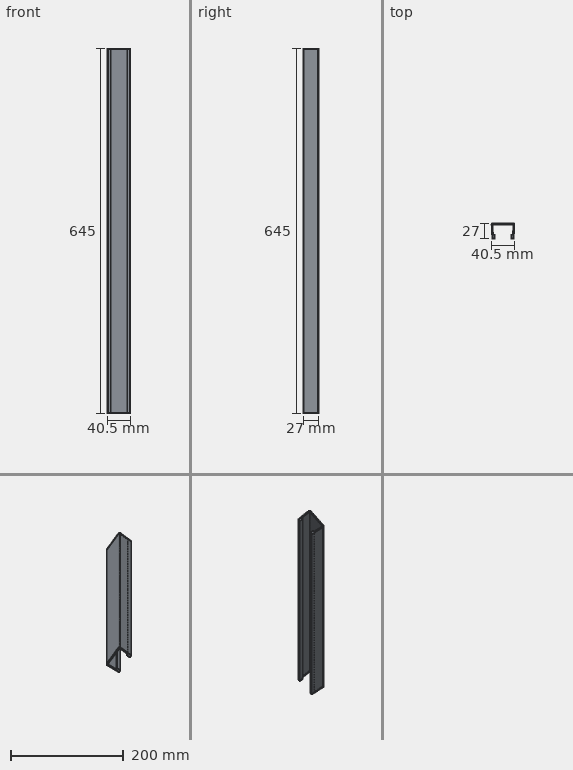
import cadquery as cq
import math

length = 645.0
width = 40.5
depth = 27.0

plate = 2.0
wall = 2.0
lean = 1.0
lip_thickness = 4.5
lip_depth = 7.0

half_width = width / 2
half_depth = depth / 2
root_y = half_depth - plate
tip_y = -half_depth


def make_back_plate():
    """Plate across the back; each end is a quarter round from the back face to the front face."""
    flat_half = half_width - plate
    arc_mid = plate * math.sqrt(0.5)
    return (
        cq.Workplane("XY")
        .moveTo(-half_width, root_y)
        .lineTo(half_width, root_y)
        .threePointArc((flat_half + arc_mid, root_y + arc_mid), (flat_half, half_depth))
        .lineTo(-flat_half, half_depth)
        .threePointArc((-flat_half - arc_mid, root_y + arc_mid), (-half_width, root_y))
        .close()
        .extrude(length / 2, both=True)
    )


def make_leg(side):
    """Leg leaning inward, thickened on its inner face near the tip; side is -1 or 1."""
    lean_slope = lean / (root_y - tip_y)
    lip_drop = lip_thickness * lean_slope
    step_y = tip_y + lip_depth

    def outer_x(y):
        return half_width - lean_slope * (root_y - y)

    outline = [
        (half_width, root_y),
        (outer_x(tip_y), tip_y),
        (outer_x(tip_y) - lip_thickness, tip_y + lip_drop),
        (outer_x(step_y) - lip_thickness, step_y),
        (outer_x(step_y) - wall, step_y),
        (half_width - wall, root_y),
    ]
    points = [(side * x, y) for x, y in outline]
    return cq.Workplane("XY").polyline(points).close().extrude(length / 2, both=True)


back_plate = make_back_plate()
legs = [make_leg(side) for side in (-1, 1)]

result = cq.Compound.makeCompound([back_plate.val(), *[leg.val() for leg in legs]])